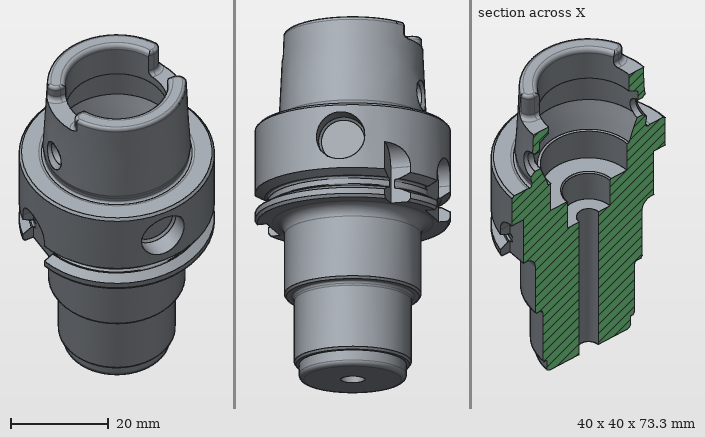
import cadquery as cq
import math

TOTAL_LENGTH = 73.3
FLANGE_TOP = 53.3
FLANGE_BOTTOM = 33.3
FLANGE_RADIUS = 40.0 / 2
FLANGE_TOP_CHAMFER = 0.5
FLANGE_BOTTOM_CHAMFER_WIDTH = 0.45
FLANGE_BOTTOM_CHAMFER_HEIGHT = 0.65

GAUGE_RADIUS = 30.0 / 2
GAUGE_Z = 57.3
TAPER_SLOPE = 0.05
TAPER_END_Z = 55.2
RELIEF_RADIUS = 29.8 / 2
RELIEF_TOP_Z = 54.3
RELIEF_FILLET = 0.5
FACE_RECESS_RADIUS = 16.0
FACE_RECESS_DEPTH = 0.15
RIM_OUTER_FILLET = 0.7
RIM_INNER_FILLET = 1.0
ARM_FILLET = 0.7

GROOVE_Z = 37.3
GROOVE_HALF_MOUTH = 2.1
GROOVE_HALF_WAIST = 1.0
GROOVE_FLOOR_RADIUS = 17.4
GROOVE_FLANK_ANGLE = 30.0
GROOVE_CORNER = 0.45

NECK_RADIUS = 28.0 / 2
NECK_FILLET = 2.5
NECK_BOTTOM_Z = 17.6
NOSE_RADIUS = 24.0 / 2
NOSE_FILLET = 0.5
NOSE_TAPER_WIDTH = 0.11
NOSE_TAPER_HEIGHT = 0.45
NOSE_BOTTOM_Z = 3.15
STEP_CHAMFER_WIDTH = 0.4
STEP_CHAMFER_HEIGHT = 0.5
TIP_RADIUS = 22.0 / 2
TIP_FILLET = 1.0

BORE_RADIUS = 21.0 / 2
BORE_END_Z = 65.4
UNDERCUT_RADIUS = 25.5 / 2
CLAMP_ANGLE = 30.0
UNDERCUT_BOTTOM_Z = 57.5
LEDGE_Z = 51.3
WELL_RADIUS = 19.8 / 2
WELL_FLOOR_Z = 44.0
SOCKET_RADIUS = 10.9 / 2
SOCKET_CHAMFER = 0.3
SOCKET_DEPTH = 7.3
COOLANT_RADIUS = 5.0 / 2

KEYWAY_HALF_WIDTH = 4.0
KEYWAY_SHOULDER_Y = 12.8
KEYWAY_CORNER_RADIUS = 1.9
KEYWAY_FLOOR_FILLET = 1.0
KEYWAY_DEPTH_FRONT = 3.4
KEYWAY_DEPTH_BACK = 6.0

ACCESS_RADIUS = 4.6 / 2
ACCESS_SINK_RADIUS = 3.15
ACCESS_SINK_CLEARANCE = 0.7
ACCESS_Z = 59.3

SLOT_RADIUS = 9.0 / 2
SLOT_TOP_Z = 45.2
SLOT_FLOOR_Y = 17.0
NOTCH_EDGE = 11.9
POCKET_RADIUS = 10.0 / 2
POCKET_Z = 46.3
POCKET_DEPTH = 4.6
POCKET_FLOOR_CHAMFER = 0.5
POCKET_TILT = 10.0

ENVELOPE_RADIUS = 22.0
OVERSIZE = 29.3


def taper_radius(z):
    return GAUGE_RADIUS - TAPER_SLOPE * (z - GAUGE_Z)


def revolve(profile):
    """Turn a closed half profile drawn as (radius, Z) about the Z axis."""
    return profile.close().revolve(360, (0, 0, 0), (0, 1, 0))


def arc_point(center_r, center_z, radius, angle):
    """Point on an arc at the given angle in degrees."""
    a = math.radians(angle)
    return (center_r + radius * math.cos(a), center_z + radius * math.sin(a))


def turned_body():
    fillet_end_radius = NOSE_RADIUS + NOSE_TAPER_WIDTH
    fillet_end_z = NECK_BOTTOM_Z - NOSE_FILLET
    rim_z = TOTAL_LENGTH - RIM_OUTER_FILLET
    rim_center_radius = taper_radius(rim_z) - RIM_OUTER_FILLET
    relief_bottom = FLANGE_TOP - FACE_RECESS_DEPTH
    profile = (
        cq.Workplane("XZ")
        .moveTo(0, 0)
        .lineTo(TIP_RADIUS - TIP_FILLET, 0)
        .threePointArc(
            arc_point(TIP_RADIUS - TIP_FILLET, TIP_FILLET, TIP_FILLET, -45),
            (TIP_RADIUS, TIP_FILLET),
        )
        .lineTo(TIP_RADIUS, NOSE_BOTTOM_Z)
        .lineTo(NOSE_RADIUS - STEP_CHAMFER_WIDTH, NOSE_BOTTOM_Z)
        .lineTo(NOSE_RADIUS, NOSE_BOTTOM_Z + STEP_CHAMFER_HEIGHT)
        .lineTo(NOSE_RADIUS, fillet_end_z - NOSE_TAPER_HEIGHT)
        .lineTo(fillet_end_radius, fillet_end_z)
        .threePointArc(
            arc_point(fillet_end_radius + NOSE_FILLET, fillet_end_z, NOSE_FILLET, 135),
            (fillet_end_radius + NOSE_FILLET, NECK_BOTTOM_Z),
        )
        .lineTo(NECK_RADIUS - STEP_CHAMFER_WIDTH, NECK_BOTTOM_Z)
        .lineTo(NECK_RADIUS, NECK_BOTTOM_Z + STEP_CHAMFER_HEIGHT)
        .lineTo(NECK_RADIUS, FLANGE_BOTTOM - NECK_FILLET)
        .threePointArc(
            arc_point(NECK_RADIUS + NECK_FILLET, FLANGE_BOTTOM - NECK_FILLET, NECK_FILLET, 135),
            (NECK_RADIUS + NECK_FILLET, FLANGE_BOTTOM),
        )
        .lineTo(FLANGE_RADIUS - FLANGE_BOTTOM_CHAMFER_WIDTH, FLANGE_BOTTOM)
        .lineTo(FLANGE_RADIUS, FLANGE_BOTTOM + FLANGE_BOTTOM_CHAMFER_HEIGHT)
        .lineTo(FLANGE_RADIUS, FLANGE_TOP - FLANGE_TOP_CHAMFER)
        .lineTo(FLANGE_RADIUS - FLANGE_TOP_CHAMFER, FLANGE_TOP)
        .lineTo(FACE_RECESS_RADIUS, FLANGE_TOP)
        .lineTo(RELIEF_RADIUS + RELIEF_FILLET, relief_bottom)
        .threePointArc(
            arc_point(RELIEF_RADIUS + RELIEF_FILLET, relief_bottom + RELIEF_FILLET, RELIEF_FILLET, 225),
            (RELIEF_RADIUS, relief_bottom + RELIEF_FILLET),
        )
        .lineTo(RELIEF_RADIUS, RELIEF_TOP_Z)
        .lineTo(taper_radius(TAPER_END_Z), TAPER_END_Z)
        .lineTo(taper_radius(rim_z), rim_z)
        .threePointArc(
            arc_point(rim_center_radius, rim_z, RIM_OUTER_FILLET, 45),
            (rim_center_radius, TOTAL_LENGTH),
        )
        .lineTo(0, TOTAL_LENGTH)
    )
    return revolve(profile)


def gripper_groove():
    flank_depth = (GROOVE_HALF_MOUTH - GROOVE_HALF_WAIST) / math.tan(math.radians(GROOVE_FLANK_ANGLE))
    waist_radius = FLANGE_RADIUS - flank_depth
    corner_radius = GROOVE_FLOOR_RADIUS + GROOVE_CORNER
    half_floor = GROOVE_HALF_WAIST - GROOVE_CORNER
    profile = (
        cq.Workplane("XZ", origin=(0, 0, GROOVE_Z))
        .moveTo(OVERSIZE, -GROOVE_HALF_MOUTH)
        .lineTo(FLANGE_RADIUS, -GROOVE_HALF_MOUTH)
        .lineTo(waist_radius, -GROOVE_HALF_WAIST)
        .lineTo(corner_radius, -GROOVE_HALF_WAIST)
        .threePointArc(
            arc_point(corner_radius, -half_floor, GROOVE_CORNER, 225),
            (GROOVE_FLOOR_RADIUS, -half_floor),
        )
        .lineTo(GROOVE_FLOOR_RADIUS, half_floor)
        .threePointArc(
            arc_point(corner_radius, half_floor, GROOVE_CORNER, 135),
            (corner_radius, GROOVE_HALF_WAIST),
        )
        .lineTo(waist_radius, GROOVE_HALF_WAIST)
        .lineTo(FLANGE_RADIUS, GROOVE_HALF_MOUTH)
        .lineTo(OVERSIZE, GROOVE_HALF_MOUTH)
    )
    return revolve(profile)


def cavity():
    clamp_drop = (UNDERCUT_RADIUS - BORE_RADIUS) * math.tan(math.radians(CLAMP_ANGLE))
    rim_z = TOTAL_LENGTH - RIM_INNER_FILLET
    socket_floor = WELL_FLOOR_Z - SOCKET_DEPTH
    profile = (
        cq.Workplane("XZ")
        .moveTo(0, 0)
        .lineTo(COOLANT_RADIUS, 0)
        .lineTo(COOLANT_RADIUS, socket_floor)
        .lineTo(SOCKET_RADIUS, socket_floor)
        .lineTo(SOCKET_RADIUS, WELL_FLOOR_Z - SOCKET_CHAMFER)
        .lineTo(SOCKET_RADIUS + SOCKET_CHAMFER, WELL_FLOOR_Z)
        .lineTo(WELL_RADIUS, WELL_FLOOR_Z)
        .lineTo(WELL_RADIUS, LEDGE_Z)
        .lineTo(BORE_RADIUS, LEDGE_Z)
        .lineTo(UNDERCUT_RADIUS, UNDERCUT_BOTTOM_Z)
        .lineTo(UNDERCUT_RADIUS, BORE_END_Z - clamp_drop)
        .lineTo(BORE_RADIUS, BORE_END_Z)
        .lineTo(BORE_RADIUS, rim_z)
        .threePointArc(
            arc_point(BORE_RADIUS + RIM_INNER_FILLET, rim_z, RIM_INNER_FILLET, 135),
            (BORE_RADIUS + RIM_INNER_FILLET, TOTAL_LENGTH),
        )
        .lineTo(0, TOTAL_LENGTH)
    )
    return revolve(profile)


def keyway(depth):
    """Keyway on the -Y side whose walls flare outward behind rounded corners."""
    shoulder = -KEYWAY_SHOULDER_Y
    corner_y = shoulder + KEYWAY_CORNER_RADIUS
    corner_x = KEYWAY_HALF_WIDTH + KEYWAY_CORNER_RADIUS
    left_mid = arc_point(-corner_x, corner_y, KEYWAY_CORNER_RADIUS, -45)
    right_mid = arc_point(corner_x, corner_y, KEYWAY_CORNER_RADIUS, -135)
    outline = (
        cq.Workplane("XY", origin=(0, 0, TOTAL_LENGTH - depth))
        .moveTo(-KEYWAY_HALF_WIDTH, 0)
        .lineTo(-KEYWAY_HALF_WIDTH, corner_y)
        .threePointArc(left_mid, (-corner_x, shoulder))
        .lineTo(-OVERSIZE, shoulder)
        .lineTo(-OVERSIZE, -OVERSIZE)
        .lineTo(OVERSIZE, -OVERSIZE)
        .lineTo(OVERSIZE, shoulder)
        .lineTo(corner_x, shoulder)
        .threePointArc(right_mid, (KEYWAY_HALF_WIDTH, corner_y))
        .lineTo(KEYWAY_HALF_WIDTH, 0)
        .close()
    )
    return outline.extrude(OVERSIZE).faces("<Z").edges().fillet(KEYWAY_FLOOR_FILLET)


def access_hole():
    """Hole along Y through both walls."""
    return cq.Workplane("XZ", origin=(0, OVERSIZE, ACCESS_Z)).circle(ACCESS_RADIUS).extrude(2 * OVERSIZE)


def access_countersink():
    """90 degree countersink for the -Y end of the access hole, starting just outside the shank."""
    surface_y = -taper_radius(ACCESS_Z)
    mouth = ACCESS_SINK_RADIUS + ACCESS_SINK_CLEARANCE
    profile = (
        cq.Workplane("XY", origin=(0, surface_y - ACCESS_SINK_CLEARANCE, ACCESS_Z))
        .lineTo(mouth, 0)
        .lineTo(0, mouth)
        .close()
    )
    return profile.revolve(360, (0, 0, 0), (0, 1, 0))


def round_top_slot(center_x, floor_y):
    """Slot cut inward from the -Y side, open at the flange bottom, with a full round top."""
    center_z = SLOT_TOP_Z - SLOT_RADIUS
    outline = (
        cq.Workplane("XZ", origin=(0, -floor_y, 0))
        .moveTo(center_x - SLOT_RADIUS, FLANGE_BOTTOM)
        .lineTo(center_x - SLOT_RADIUS, center_z)
        .threePointArc((center_x, SLOT_TOP_Z), (center_x + SLOT_RADIUS, center_z))
        .lineTo(center_x + SLOT_RADIUS, FLANGE_BOTTOM)
        .close()
    )
    return outline.extrude(OVERSIZE)


def pocket(angle):
    """Flat-bottomed radial hole in the flange, pointing outward at the given angle from +X."""
    hole = cq.Workplane("YZ", origin=(FLANGE_RADIUS - POCKET_DEPTH, 0, POCKET_Z))
    hole = hole.circle(POCKET_RADIUS).extrude(OVERSIZE).faces("<X").chamfer(POCKET_FLOOR_CHAMFER)
    return hole.rotate((0, 0, 0), (0, 0, 1), angle)


def half_turn(shape):
    return shape.rotate((0, 0, 0), (0, 0, 1), 180)


def is_keyway_edge(edge):
    return edge.geomType() == "LINE" or abs(edge.radius() - KEYWAY_CORNER_RADIUS) < 0.01


def keyed_envelope():
    """Oversize blank carrying both keyways, with the top edges of their walls rounded."""
    blank = cq.Workplane("XY").circle(ENVELOPE_RADIUS).extrude(TOTAL_LENGTH)
    blank = blank.cut(keyway(KEYWAY_DEPTH_FRONT)).cut(half_turn(keyway(KEYWAY_DEPTH_BACK)))
    wall_edges = blank.faces(">Z").edges().filter(is_keyway_edge).vals()
    return blank.newObject(wall_edges).fillet(ARM_FILLET)


body = turned_body().cut(gripper_groove())
body = body.intersect(keyed_envelope()).cut(cavity())
sink = access_countersink()
body = body.cut(access_hole()).cut(sink).cut(half_turn(sink))

slot = round_top_slot(0, SLOT_FLOOR_Y)
body = body.cut(slot).cut(half_turn(slot))
body = body.cut(round_top_slot(-NOTCH_EDGE - SLOT_RADIUS, NOTCH_EDGE))
body = body.cut(pocket(0)).cut(pocket(180 + POCKET_TILT))

result = body